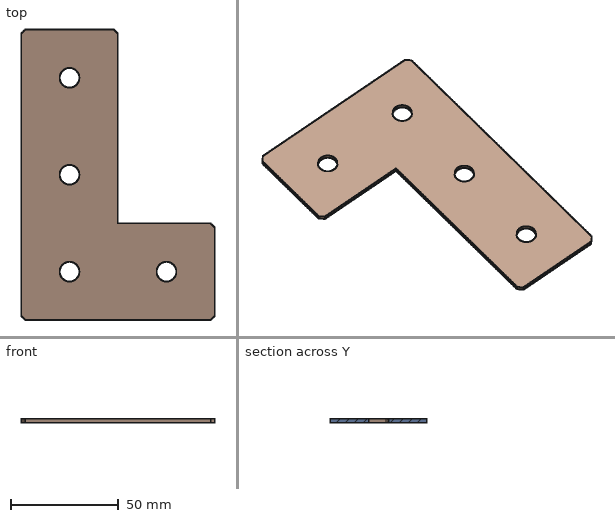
import cadquery as cq

long_leg = 135.0
square = long_leg / 3
short_leg = 2 * square
thickness = 2.0
corner_chamfer = 2.0
hole_diameter = 9.0

plate = (
    cq.Workplane("XY")
    .polyline([
        (0, 0),
        (short_leg, 0),
        (short_leg, square),
        (square, square),
        (square, long_leg),
        (0, long_leg),
    ])
    .close()
    .extrude(thickness)
)

inner_corner = cq.selectors.NearestToPointSelector((square, square, thickness / 2))
plate = plate.edges(cq.selectors.StringSyntaxSelector("|Z") - inner_corner).chamfer(corner_chamfer)

hole_centres = [
    (square * (column + 0.5), square * (row + 0.5))
    for column, row in [(0, 0), (1, 0), (0, 1), (0, 2)]
]
holes = (
    cq.Workplane("XY")
    .pushPoints(hole_centres)
    .circle(hole_diameter / 2)
    .extrude(thickness)
)

result = plate.cut(holes)